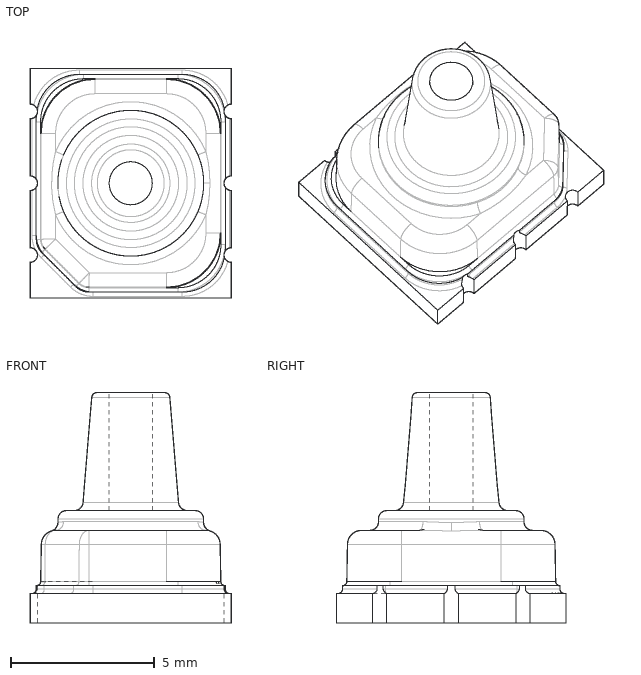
import cadquery as cq
import math

BASE_X = 7.0
BASE_Y = 8.0
BASE_HEIGHT = 1.03
TOTAL_HEIGHT = 8.03

NOTCH_RADIUS = 0.25
NOTCH_PITCH = 2.5
NOTCHES_PER_SIDE = 3

COVE_RADIUS = 0.15
FOOT_INSET = 0.21
FOOT_HEIGHT = 0.27
FOOT_CORNER_RADIUS = 1.5
FOOT_CHAMFER = 1.58
FOOT_CHAMFER_BLEND = 0.95

SKIRT_INSET = FOOT_INSET + COVE_RADIUS
SKIRT_CORNER_RADIUS = 1.5

BODY_TOP = 3.23
BODY_CORNER_RADIUS = 1.9
BODY_CHAMFER = 1.48
BODY_CHAMFER_BLEND = 0.5
BODY_DRAFT = 1.0
BODY_EDGE_RADIUS = 0.5

COLLAR_RADIUS = 2.54
COLLAR_TOP = 3.92
COLLAR_FILLET = 0.3

BARREL_BOTTOM_RADIUS = 1.69
BARREL_TOP_RADIUS = 1.35
BARREL_ROOT_FILLET = 0.3
BARREL_TIP_FILLET = 0.2
BORE_RADIUS = 0.75
BORE_DEPTH = TOTAL_HEIGHT - COLLAR_TOP

FOOT_TOP = BASE_HEIGHT + FOOT_HEIGHT
SKIRT_TOP = FOOT_TOP + COVE_RADIUS


def near_level(level, half_width):
    """Selector for edges centred at a level, within a square around the Z axis."""
    tolerance = 0.01
    return cq.selectors.BoxSelector(
        (-half_width, -half_width, level - tolerance),
        (half_width, half_width, level + tolerance),
    )


def cut_corner_outline(inset, corner_radius, chamfer, chamfer_blend, level):
    """Rectangle inset from the plate: three round corners, the -X -Y corner cut off with blended ends."""
    half_x = BASE_X / 2 - inset
    half_y = BASE_Y / 2 - inset
    half_turn = math.radians(45 / 2)
    blend_run = chamfer_blend * math.tan(half_turn)
    blend_leg = blend_run * math.sqrt(0.5)
    blend_mid = chamfer_blend * (1 - math.cos(half_turn))
    blend_mid_run = blend_run - chamfer_blend * math.sin(half_turn)
    corner_mid = corner_radius * (1 - math.sqrt(0.5))
    cut_x = chamfer - half_x
    cut_y = chamfer - half_y
    return (
        cq.Workplane("XY", origin=(0, 0, level))
        .moveTo(cut_x + blend_run, -half_y)
        .lineTo(half_x - corner_radius, -half_y)
        .threePointArc((half_x - corner_mid, corner_mid - half_y), (half_x, corner_radius - half_y))
        .lineTo(half_x, half_y - corner_radius)
        .threePointArc((half_x - corner_mid, half_y - corner_mid), (half_x - corner_radius, half_y))
        .lineTo(corner_radius - half_x, half_y)
        .threePointArc((corner_mid - half_x, half_y - corner_mid), (-half_x, half_y - corner_radius))
        .lineTo(-half_x, cut_y + blend_run)
        .threePointArc(
            (blend_mid - half_x, cut_y + blend_mid_run),
            (blend_leg - half_x, cut_y - blend_leg),
        )
        .lineTo(cut_x - blend_leg, blend_leg - half_y)
        .threePointArc((cut_x + blend_mid_run, blend_mid - half_y), (cut_x + blend_run, -half_y))
        .close()
    )


def coved_step(outline, height, level):
    """Prism whose bottom edge spreads outward through a cove onto a plane at the given level."""
    ground = (
        cq.Workplane("XY", origin=(0, 0, level - COVE_RADIUS))
        .rect(2 * BASE_X, 2 * BASE_Y)
        .extrude(COVE_RADIUS)
    )
    prism = outline.extrude(2 * height)
    coved = ground.union(prism).edges(near_level(level, BASE_Y / 2)).fillet(COVE_RADIUS)
    trim = cq.Workplane("XY", origin=(0, 0, level)).rect(2 * BASE_X, 2 * BASE_Y).extrude(height)
    return coved.intersect(trim)


def make_plate():
    return cq.Workplane("XY").rect(BASE_X, BASE_Y).extrude(BASE_HEIGHT)


def make_foot():
    outline = cut_corner_outline(
        FOOT_INSET, FOOT_CORNER_RADIUS, FOOT_CHAMFER, FOOT_CHAMFER_BLEND, BASE_HEIGHT
    )
    return coved_step(outline, FOOT_HEIGHT, BASE_HEIGHT)


def make_skirt():
    outline = cut_corner_outline(
        SKIRT_INSET, SKIRT_CORNER_RADIUS, BODY_CHAMFER, BODY_CHAMFER_BLEND, FOOT_TOP
    )
    return coved_step(outline, COVE_RADIUS, FOOT_TOP)


def make_body():
    outline = cut_corner_outline(
        SKIRT_INSET, BODY_CORNER_RADIUS, BODY_CHAMFER, BODY_CHAMFER_BLEND, SKIRT_TOP
    )
    body = outline.extrude(BODY_TOP - SKIRT_TOP, taper=BODY_DRAFT)
    return body.faces(">Z").edges().fillet(BODY_EDGE_RADIUS)


def add_collar(body):
    collar_height = COLLAR_TOP - SKIRT_TOP
    collar = cq.Workplane("XY", origin=(0, 0, SKIRT_TOP)).circle(COLLAR_RADIUS).extrude(collar_height)
    collar = collar.faces(">Z").edges().fillet(COLLAR_FILLET)
    return body.union(collar).edges(near_level(BODY_TOP, COLLAR_RADIUS)).fillet(COLLAR_FILLET)


def add_barrel(body):
    barrel = cq.Workplane("XY").add(
        cq.Solid.makeCone(
            BARREL_BOTTOM_RADIUS,
            BARREL_TOP_RADIUS,
            TOTAL_HEIGHT - COLLAR_TOP,
            pnt=cq.Vector(0, 0, COLLAR_TOP),
        )
    )
    barrel = barrel.faces(">Z").edges().fillet(BARREL_TIP_FILLET)
    joined = body.union(barrel)
    return joined.edges(near_level(COLLAR_TOP, BARREL_BOTTOM_RADIUS)).fillet(BARREL_ROOT_FILLET)


def cut_bore(part):
    return part.faces(">Z").workplane(origin=(0, 0, 0)).circle(BORE_RADIUS).cutBlind(-BORE_DEPTH)


def cut_notches(part):
    notches = (
        cq.Workplane("XY")
        .rarray(BASE_X, NOTCH_PITCH, 2, NOTCHES_PER_SIDE)
        .circle(NOTCH_RADIUS)
        .extrude(SKIRT_TOP)
    )
    return part.cut(notches)


upper = cut_bore(add_barrel(add_collar(make_body())))
lower = cut_notches(make_plate().union(make_foot()).union(make_skirt()))
result = lower.union(upper)